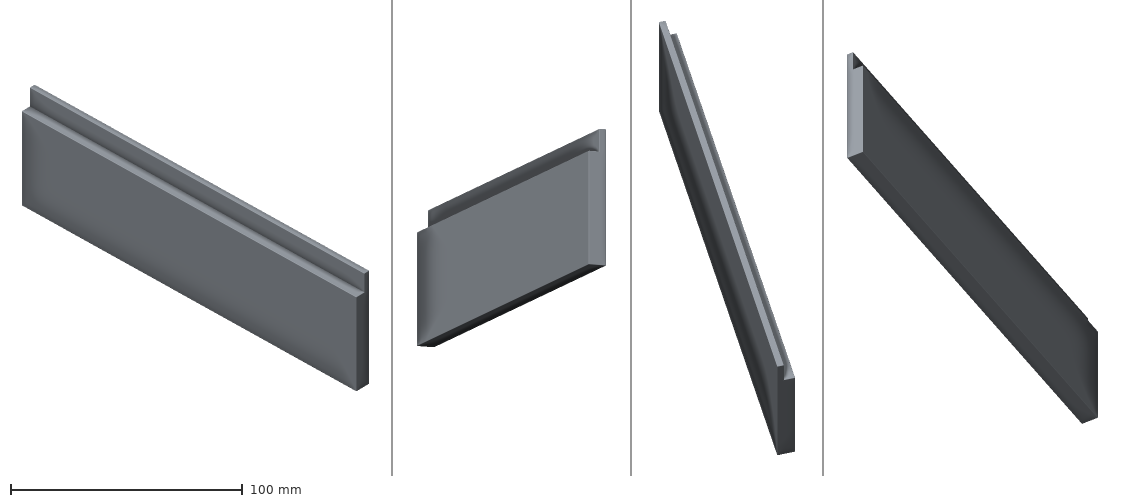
import cadquery as cq

length = 200.0
thickness = 8.0
height = 60.0

tongue_height = 10.0
tongue_thickness = 3.0

edge_radius = 0.2

shelf_depth = thickness - tongue_thickness
shelf_level = height - tongue_height


def stepped_plate():
    """L-shaped section extruded along X, with its lower front corner at the origin."""
    return (
        cq.Workplane("YZ")
        .polyline(
            [
                (0, 0),
                (thickness, 0),
                (thickness, height),
                (shelf_depth, height),
                (shelf_depth, shelf_level),
                (0, shelf_level),
            ]
        )
        .close()
        .extrude(length)
    )


def round_outer_edges(plate):
    """Round all edges except the inner corner between shelf and tongue, which stays sharp."""
    inner_corner_middle = (length / 2, shelf_depth, shelf_level)
    inner_corner = cq.NearestToPointSelector(inner_corner_middle)
    return plate.edges(cq.selectors.InverseSelector(inner_corner)).fillet(edge_radius)


result = round_outer_edges(stepped_plate())